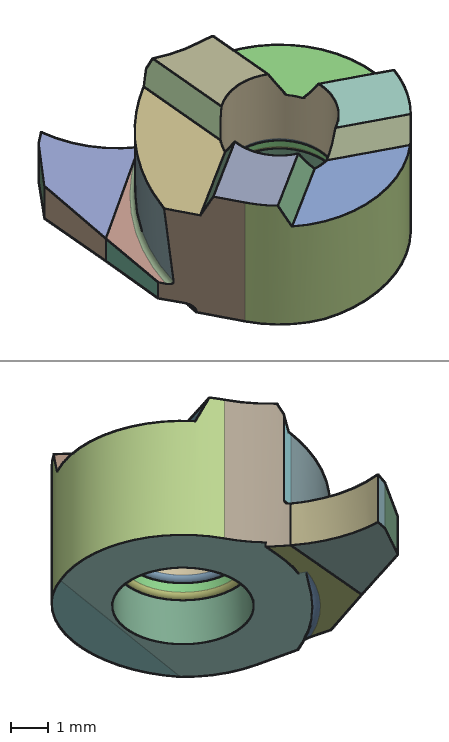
import cadquery as cq
import math

HUB_RADIUS = 3.5
BORE_RADIUS = 1.58
HUB_HEIGHT = 3.62
LIP_RADIUS = 0.15
LIP_TOPS = (1.99, 1.55)
HEEL_START = 2.01
HEEL_RISE = 0.11

KEY_HEIGHT = 0.78
KEY_HALF_FOOT = 1.24
KEY_HALF_TOP = 0.88
KEY_ANGLES = (30, 150, 270)

HOLLOW_RADIUS = 3.79
HOLLOW_CENTER_X = -5.78
TIP_X = -6.8
TIP_BEVEL = (-6.76, 0.4)
TIP_CORNER = (-6.21, -1.03)
ARM_CORNER_X = -2.4

SEAT_X = -4.15
ARM_MID_Z = 0.55
SEAT_CORNER_Y = -2.37
SEAT_CORNER_THICKNESS = 0.83
SLOPE_Y = 0.072
TIP_SLOPE_X = -0.042
ROOT_SLOPE_X = -0.02

WALL_TANGENT_Y = 0.76
UPPER_WALL_X = -3.99
UPPER_WALL_END_LOW = -1.98
UPPER_WALL_END_HIGH = -2.24
UPPER_WALL_LOW_Z = 1.03
UPPER_FILLET = 0.14
LOWER_WALL_X = -3.57
LOWER_WALL_END = -1.34
LOWER_FILLET = 0.25

FAR = 10.3
CROWN_Z = HUB_HEIGHT + KEY_HEIGHT
DEEP_Z = -0.52
TOLERANCE = 0.001


def arm_and_hub(bottom, top):
    """Prism of the complete outline between two heights."""
    center_distance = HUB_RADIUS + HOLLOW_RADIUS
    center_y = math.sqrt(center_distance**2 - HOLLOW_CENTER_X**2)
    tangent_x = HOLLOW_CENTER_X * HUB_RADIUS / center_distance
    tangent_y = center_y * HUB_RADIUS / center_distance
    tip_y = center_y - math.sqrt(HOLLOW_RADIUS**2 - (TIP_X - HOLLOW_CENTER_X) ** 2)
    return (
        cq.Workplane("XY", origin=(0, 0, bottom))
        .moveTo(ARM_CORNER_X, -HUB_RADIUS)
        .lineTo(0, -HUB_RADIUS)
        .threePointArc((HUB_RADIUS, 0), (0, HUB_RADIUS))
        .radiusArc((tangent_x, tangent_y), -HUB_RADIUS)
        .radiusArc((TIP_X, tip_y), HOLLOW_RADIUS)
        .lineTo(*TIP_BEVEL)
        .lineTo(*TIP_CORNER)
        .close()
        .extrude(top - bottom)
    )


def taper_plane(slope_x, side):
    """Upper (side=1) or lower (side=-1) sloping plane of the arm, facing outward."""
    origin = (SEAT_X, SEAT_CORNER_Y, ARM_MID_Z + side * SEAT_CORNER_THICKNESS / 2)
    return cq.Plane(
        origin=origin,
        xDir=(1, 0, side * slope_x),
        normal=(-slope_x, -SLOPE_Y, side),
    )


def beyond(slope_x, side):
    """Block filling the space outside a sloping plane of the arm."""
    return cq.Workplane(taper_plane(slope_x, side)).rect(3 * FAR, 3 * FAR).extrude(FAR)


def wall_outline(workplane, wall_x, end_x):
    """Area on the -X side of a wall: straight, then a tangent arc to the flat side and beyond."""
    drop = WALL_TANGENT_Y + HUB_RADIUS
    shift = end_x - wall_x
    radius = (drop**2 + shift**2) / (2 * shift)
    half_sweep = math.asin(drop / radius) / 2
    middle = (
        wall_x + radius * (1 - math.cos(half_sweep)),
        WALL_TANGENT_Y - radius * math.sin(half_sweep),
    )
    return (
        workplane.moveTo(wall_x, FAR)
        .lineTo(wall_x, WALL_TANGENT_Y)
        .threePointArc(middle, (end_x, -HUB_RADIUS))
        .lineTo(end_x, -FAR)
        .lineTo(-FAR, -FAR)
        .lineTo(-FAR, FAR)
        .close()
    )


def fillet_wall_foot(relief, plane, radius):
    """Round the edges where the wall of a relief meets the sloping plane of the arm."""
    solid = relief.val()

    def is_foot(edge):
        center = edge.Center()
        return abs(plane.toLocalCoords(center).z) < TOLERANCE and center.x > TIP_X and center.y > -HUB_RADIUS

    return cq.Workplane(solid.fillet(radius, [edge for edge in solid.Edges() if is_foot(edge)]))


def upper_relief():
    """Space above the root; its wall leans because its arc widens downward."""
    lean = (UPPER_WALL_END_HIGH - UPPER_WALL_END_LOW) / (HUB_HEIGHT - UPPER_WALL_LOW_Z)
    bottom_end = UPPER_WALL_END_LOW + lean * (DEEP_Z - UPPER_WALL_LOW_Z)
    top_end = UPPER_WALL_END_LOW + lean * (CROWN_Z - UPPER_WALL_LOW_Z)
    bottom = wall_outline(cq.Workplane("XY", origin=(0, 0, DEEP_Z)), UPPER_WALL_X, bottom_end)
    tool = wall_outline(bottom.workplane(offset=CROWN_Z - DEEP_Z), UPPER_WALL_X, top_end).loft(ruled=True)
    tool = tool.intersect(beyond(ROOT_SLOPE_X, 1))
    return fillet_wall_foot(tool, taper_plane(ROOT_SLOPE_X, 1), UPPER_FILLET)


def lower_relief():
    """Space below the root."""
    base = cq.Workplane("XY", origin=(0, 0, DEEP_Z))
    tool = wall_outline(base, LOWER_WALL_X, LOWER_WALL_END).extrude(CROWN_Z - DEEP_Z)
    tool = tool.intersect(beyond(ROOT_SLOPE_X, -1))
    return fillet_wall_foot(tool, taper_plane(ROOT_SLOPE_X, -1), LOWER_FILLET)


def below_hub():
    """Space under the hub's flat underside, on the +X side of the lower wall."""
    base = cq.Workplane("XY", origin=(0, 0, DEEP_Z))
    slab = base.rect(2 * FAR, 2 * FAR).extrude(-DEEP_Z)
    return slab.cut(wall_outline(base, LOWER_WALL_X, LOWER_WALL_END).extrude(-DEEP_Z))


def below_arm():
    """Space under both the hub's underside and the sloping root, where no wall foot remains."""
    slab = cq.Workplane("XY", origin=(0, 0, DEEP_Z)).rect(2 * FAR, 2 * FAR).extrude(-DEEP_Z)
    return slab.intersect(beyond(ROOT_SLOPE_X, -1))


def bore():
    """Through bore that widens downward in two steps with rounded lips."""
    profile = cq.Workplane("XZ").moveTo(0, CROWN_Z).lineTo(BORE_RADIUS, CROWN_Z)
    radius = BORE_RADIUS
    for lip_top in LIP_TOPS:
        profile = profile.lineTo(radius, lip_top)
        radius += LIP_RADIUS
        profile = profile.radiusArc((radius, lip_top - LIP_RADIUS), -LIP_RADIUS)
    return profile.lineTo(radius, DEEP_Z).lineTo(0, DEEP_Z).close().revolve(360, (0, 0, 0), (0, 1, 0))


def heel_wedge():
    """Wedge that lifts the underside toward +X."""
    return (
        cq.Workplane("XZ", origin=(0, FAR, 0))
        .polyline([(HEEL_START, 0), (HUB_RADIUS, HEEL_RISE), (HUB_RADIUS, 0)])
        .close()
        .extrude(2 * FAR)
    )


def coupling_keys():
    """Three radial keys with sloping flanks, trimmed by the outline."""
    key = (
        cq.Workplane("YZ", origin=(0, 0, HUB_HEIGHT))
        .polyline(
            [
                (-KEY_HALF_FOOT, 0),
                (KEY_HALF_FOOT, 0),
                (KEY_HALF_TOP, KEY_HEIGHT),
                (-KEY_HALF_TOP, KEY_HEIGHT),
            ]
        )
        .close()
        .extrude(FAR)
    )
    keys = cq.Workplane()
    for angle in KEY_ANGLES:
        keys = keys.add(key.rotate((0, 0, 0), (0, 0, 1), angle))
    return keys.combine().intersect(arm_and_hub(HUB_HEIGHT, CROWN_Z))


def seat_side(sign):
    """Block on the +X (sign=1) or -X (sign=-1) side of the joint."""
    return cq.Workplane("YZ", origin=(SEAT_X, 0, 0)).rect(3 * FAR, 3 * FAR).extrude(sign * 2 * FAR)


def make_holder():
    holder = arm_and_hub(DEEP_Z, HUB_HEIGHT).union(coupling_keys())
    holder = holder.intersect(seat_side(1))
    for space in (upper_relief(), lower_relief(), below_arm(), below_hub(), heel_wedge(), bore()):
        holder = holder.cut(space)
    return holder


def make_cutting_tip():
    tip = arm_and_hub(DEEP_Z, HUB_HEIGHT).intersect(seat_side(-1))
    for side in (1, -1):
        tip = tip.cut(beyond(TIP_SLOPE_X, side))
    return tip


holder = make_holder()
cutting_tip = make_cutting_tip()
result = cq.Compound.makeCompound([holder.val(), cutting_tip.val()])